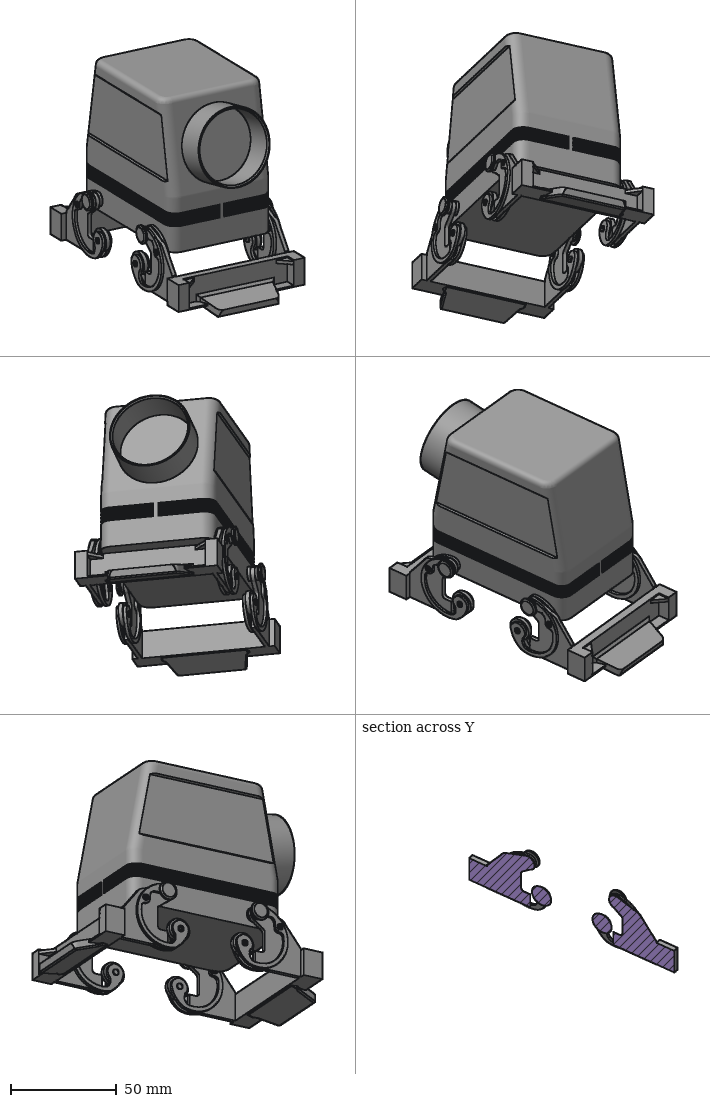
import cadquery as cq
import math


MARGIN = 1.3
DIAGONAL = math.sqrt(0.5)

HOOD_HALF_X = 41.0
HOOD_HALF_Y = 28.1
HOOD_HEIGHT = 75.0
RIDGE_Z = 28.0
TILT = 10.6
RIDGE_RADIUS = 4.3
CORNER_RADIUS = 5.9
TOP_RADIUS = 2.9
PANEL_DEPTH = 0.8
PANEL_BOTTOM = 34.7
PANEL_TOP = 67.7

GROOVE_COUNT = 4
GROOVE_PITCH = 1.7
GROOVE_WIDTH = 1.5
GROOVE_ROOT_WIDTH = 0.7
GROOVE_DEPTH = 0.5
GROOVE_FIRST_Z = 14.0
GROOVE_GAP = 2.5

ENTRY_X = 52.2
ENTRY_Z = 52.4
ENTRY_RADIUS = 19.5
ENTRY_BORE_RADIUS = 18.4
ENTRY_LENGTH = 18.6
ENTRY_BORE_DEPTH = 16.0
ENTRY_CHAMFER = 0.8

PLATE_IN_Y = 30.0
PLATE_OUT_Y = 32.1
RIM_IN_Y = 28.3
RIM_OUT_Y = 33.4
SHOULDER_Z = -7.6
THROAT_X = -29.1
THROAT_Z = -13.7
THROAT_END_X = -23.8
THROAT_RADIUS = 1.7
HOOK_X = -25.0
HOOK_Z = -6.4
HOOK_RADIUS = 16.0
RIM_WIDTH = 2.1
PIVOT_Z = 6.0
PIVOT_RADIUS = HOOK_Z + HOOK_RADIUS - PIVOT_Z
STUD_RADIUS = 2.7
BUTTON_RADIUS = 4.5
BUTTON_IN_Y = 34.2
BUTTON_OUT_Y = 35.5
BUTTON_FACE_RADIUS = 3.6
BUTTON_BEVEL = 0.5
ROLLER_X = -17.4
ROLLER_Z = -11.6
ROLLER_RADIUS = 5.6
ROLLER_CHEEK_RADIUS = 4.3
PIN_X = -36.6
PIN_Z = 0.5
PIN_RADIUS = 1.5
PIN_DIMPLE_RADIUS = 0.8
PIN_DIMPLE_DEPTH = 0.5
PIN_IN_Y = 27.8
PIN_OUT_Y = 33.8

BAR_OUT_X = -59.1
BAR_IN_X = -48.8
BAR_HALF_Y = 34.7
BAR_TOP = -8.3
BAR_BOTTOM = -22.0
POCKET_X = -53.2
POCKET_HALF_Y = 28.7
FLOOR_THICKNESS = 0.8
GUSSET_TOP = -8.9
GUSSET_THICKNESS = 1.7
GUSSET_LENGTH = 6.3

TAB_END_X = -66.5
TAB_TOP_Z = -22.4
TAB_TIP_X = -65.5
TAB_BOTTOM_Z = -26.5
TAB_HEEL_X = -49.5
TAB_ROOT_Z = -19.0
TAB_BLEND = 1.3
TAB_BLEND_HEIGHT = 1.5
TAB_ROOT_HALF_Y = 20.0
TAB_FLARE_HALF_Y = 21.4
TAB_END_HALF_Y = 16.6
TAB_CORNER_RADIUS = 3.2
TAB_CHAMFER = 0.8


def block(x0, x1, y0, y1, z0, z1):
    return cq.Workplane("XY").box(x1 - x0, y1 - y0, z1 - z0, centered=False).translate((x0, y0, z0))


def slab(outline, y_out, y_in):
    """Extrude an (x, z) outline, drawn by a function on a workplane, from -y_in to -y_out."""
    plane = cq.Workplane("XZ", origin=(0, -y_in, 0))
    return outline(plane).close().extrude(y_out - y_in)


def disc(x, z, radius, y_out, y_in):
    """Round disc across Y, from -y_in to -y_out."""
    plane = cq.Workplane("XZ", origin=(x, -y_in, z))
    return plane.circle(radius).extrude(y_out - y_in)


def hood_shell():
    top_half_x = HOOD_HALF_X - (HOOD_HEIGHT - RIDGE_Z) * math.tan(math.radians(TILT))
    body = (
        cq.Workplane("XZ")
        .polyline([
            (-HOOD_HALF_X, 0),
            (HOOD_HALF_X, 0),
            (HOOD_HALF_X, RIDGE_Z),
            (top_half_x, HOOD_HEIGHT),
            (-top_half_x, HOOD_HEIGHT),
            (-HOOD_HALF_X, RIDGE_Z),
        ])
        .close()
        .extrude(HOOD_HALF_Y, both=True)
    )
    ridge = cq.selectors.BoxSelector(
        (-HOOD_HALF_X - MARGIN, -HOOD_HALF_Y, RIDGE_Z - MARGIN),
        (HOOD_HALF_X + MARGIN, HOOD_HALF_Y, RIDGE_Z + MARGIN),
    )
    body = body.edges("|Y").edges(ridge).fillet(RIDGE_RADIUS)
    body = body.faces("<Y or >Y").edges("not #Z").edges("not |X").fillet(CORNER_RADIUS)
    return body.faces(">Z").edges().fillet(TOP_RADIUS)


def panel_recess():
    """Bevelled recess in the -Y wall, running out through the rounded corners."""
    face = -HOOD_HALF_Y
    return (
        cq.Workplane("YZ")
        .polyline([
            (face + PANEL_DEPTH, PANEL_BOTTOM + PANEL_DEPTH),
            (face + PANEL_DEPTH, PANEL_TOP - PANEL_DEPTH),
            (face - PANEL_DEPTH, PANEL_TOP + PANEL_DEPTH),
            (face - PANEL_DEPTH, PANEL_BOTTOM - PANEL_DEPTH),
        ])
        .close()
        .extrude(HOOD_HALF_X, both=True)
    )


def grip_groove(z):
    """Flat-bottomed bevelled groove around the hood, interrupted in the middle of both end walls."""
    half = GROOVE_WIDTH / 2
    root_half = GROOVE_ROOT_WIDTH / 2
    full = cq.Sketch().rect(2 * HOOD_HALF_X, 2 * HOOD_HALF_Y).vertices().fillet(CORNER_RADIUS)
    waist = (
        cq.Sketch()
        .rect(2 * (HOOD_HALF_X - GROOVE_DEPTH), 2 * (HOOD_HALF_Y - GROOVE_DEPTH))
        .vertices()
        .fillet(CORNER_RADIUS - GROOVE_DEPTH)
    )

    def section(sketch, level):
        return sketch.moved(cq.Location(cq.Vector(0, 0, level)))

    reach_x = HOOD_HALF_X + MARGIN
    reach_y = HOOD_HALF_Y + MARGIN
    ring = block(-reach_x, reach_x, -reach_y, reach_y, z - half, z + half)
    for start, end, wide in [
        (-half, -root_half, full),
        (-root_half, root_half, waist),
        (half, root_half, full),
    ]:
        core = cq.Workplane("XY").placeSketch(section(wide, z + start), section(waist, z + end)).loft()
        ring = ring.cut(core)
    strip = block(-reach_x, reach_x, -GROOVE_GAP / 2, GROOVE_GAP / 2, z - half, z + half)
    return ring.cut(strip)


def cable_entry(radius, length, taper=0):
    """Cylinder running inward from the tilted mouth of the cable entry."""
    angle = math.radians(TILT)
    inward = (-math.cos(angle), 0, -math.sin(angle))
    mouth = cq.Plane((ENTRY_X, 0, ENTRY_Z), (0, 1, 0), inward)
    return cq.Workplane(mouth).circle(radius).extrude(length, taper=taper)


def plate_outline(plane):
    """Side plate from the cross bar up to the pivot and down to the hook tail."""
    return (
        plane.moveTo(BAR_IN_X, BAR_BOTTOM)
        .lineTo(BAR_IN_X, SHOULDER_Z)
        .lineTo(-40.3, 3.2)
        .threePointArc((-39.4, 4.4), (-38.3, 5.0))
        .lineTo(-26.2, 9.2)
        .threePointArc((HOOK_X + PIVOT_RADIUS, PIVOT_Z), (-24.1, 1.5))
        .lineTo(-28.0, -1.5)
        .threePointArc((-28.9, -2.3), (THROAT_X, -3.5))
        .lineTo(THROAT_X, THROAT_Z + THROAT_RADIUS)
        .threePointArc(
            (THROAT_X + THROAT_RADIUS * (1 - DIAGONAL), THROAT_Z + THROAT_RADIUS * (1 - DIAGONAL)),
            (THROAT_X + THROAT_RADIUS, THROAT_Z),
        )
        .lineTo(THROAT_END_X, THROAT_Z)
        .lineTo(THROAT_END_X, BAR_BOTTOM)
    )


def rim_outline(plane):
    """Raised C-shaped rim from the pivot, past the pin, round to the roller."""
    inner_radius = HOOK_RADIUS - RIM_WIDTH
    leave_x = 5.3
    leave_z = HOOK_Z - math.sqrt(HOOK_RADIUS**2 - leave_x**2)
    inner_x = 2.1
    inner_z = HOOK_Z - math.sqrt(inner_radius**2 - inner_x**2)
    pin_side_x = -38.7
    pin_side_z = HOOK_Z + math.sqrt(inner_radius**2 - (pin_side_x - HOOK_X)**2)
    rim_end_z = 4.8
    return (
        plane.moveTo(HOOK_X, HOOK_Z + HOOK_RADIUS)
        .threePointArc(
            (HOOK_X - HOOK_RADIUS * DIAGONAL, HOOK_Z - HOOK_RADIUS * DIAGONAL),
            (HOOK_X + leave_x, leave_z),
        )
        .threePointArc((-15.6, -17.7), (ROLLER_X + ROLLER_CHEEK_RADIUS, ROLLER_Z))
        .threePointArc((ROLLER_X, ROLLER_Z + ROLLER_CHEEK_RADIUS), (-20.9, -14.1))
        .threePointArc((-20.1, -16.0), (-20.6, -18.2))
        .threePointArc((-21.5, -19.4), (HOOK_X + inner_x, inner_z))
        .threePointArc(
            (HOOK_X - inner_radius * DIAGONAL, HOOK_Z - inner_radius * DIAGONAL),
            (pin_side_x, pin_side_z),
        )
        .threePointArc((-37.9, -2.7), (-36.3, -2.1))
        .threePointArc((-34.9, -1.5), (-34.2, -0.1))
        .lineTo(-34.0, 2.3)
        .threePointArc((-33.4, 3.7), (-32.0, rim_end_z))
        .lineTo(-28.0, rim_end_z)
        .lineTo(HOOK_X, PIVOT_Z - PIVOT_RADIUS)
        .threePointArc((HOOK_X + PIVOT_RADIUS, PIVOT_Z), (HOOK_X, HOOK_Z + HOOK_RADIUS))
    )


def pin(x, z):
    body = disc(x, z, PIN_RADIUS, PIN_OUT_Y, PIN_IN_Y)
    return body.cut(disc(x, z, PIN_DIMPLE_RADIUS, PIN_OUT_Y, PIN_OUT_Y - PIN_DIMPLE_DEPTH))


def lever_arm():
    button = disc(HOOK_X, PIVOT_Z, BUTTON_RADIUS, BUTTON_OUT_Y, BUTTON_IN_Y)
    button = button.faces("<Y").chamfer(BUTTON_BEVEL, BUTTON_RADIUS - BUTTON_FACE_RADIUS)
    arm = slab(plate_outline, PLATE_OUT_Y, PLATE_IN_Y)
    for y_out, y_in in [(RIM_OUT_Y, PLATE_OUT_Y), (PLATE_IN_Y, RIM_IN_Y)]:
        arm = arm.union(slab(rim_outline, y_out, y_in))
    arm = arm.union(disc(ROLLER_X, ROLLER_Z, ROLLER_RADIUS, PLATE_OUT_Y, PLATE_IN_Y))
    arm = arm.union(disc(HOOK_X, PIVOT_Z, STUD_RADIUS, BUTTON_IN_Y, PIN_IN_Y))
    arm = arm.union(button)
    for x, z in [(PIN_X, PIN_Z), (ROLLER_X, ROLLER_Z)]:
        arm = arm.union(pin(x, z))
    return arm


def gusset():
    """Triangular web in the -Y corner of the cross bar pocket."""
    return (
        cq.Workplane("XY", origin=(0, 0, GUSSET_TOP - GUSSET_THICKNESS))
        .polyline([
            (BAR_OUT_X, -POCKET_HALF_Y),
            (POCKET_X, -POCKET_HALF_Y),
            (POCKET_X, -POCKET_HALF_Y + GUSSET_LENGTH),
        ])
        .close()
        .extrude(GUSSET_THICKNESS)
    )


def finger_tab():
    side = (
        cq.Workplane("XZ")
        .polyline([
            (TAB_HEEL_X, BAR_BOTTOM),
            (TAB_TIP_X, TAB_BOTTOM_Z),
            (TAB_END_X, TAB_TOP_Z),
            (POCKET_X - TAB_BLEND, TAB_ROOT_Z),
            (POCKET_X, TAB_ROOT_Z + TAB_BLEND_HEIGHT),
            (TAB_HEEL_X, TAB_ROOT_Z + TAB_BLEND_HEIGHT),
        ])
        .close()
        .extrude(BAR_HALF_Y, both=True)
    )
    plan = (
        cq.Workplane("XY", origin=(0, 0, TAB_BOTTOM_Z - MARGIN))
        .polyline([
            (TAB_END_X, -TAB_END_HALF_Y),
            (POCKET_X - TAB_BLEND, -TAB_ROOT_HALF_Y),
            (POCKET_X, -TAB_FLARE_HALF_Y),
            (TAB_HEEL_X, -TAB_FLARE_HALF_Y),
            (TAB_HEEL_X, TAB_FLARE_HALF_Y),
            (POCKET_X, TAB_FLARE_HALF_Y),
            (POCKET_X - TAB_BLEND, TAB_ROOT_HALF_Y),
            (TAB_END_X, TAB_END_HALF_Y),
        ])
        .close()
        .extrude(BAR_TOP - TAB_BOTTOM_Z)
        .edges("|Z and <X")
        .fillet(TAB_CORNER_RADIUS)
    )
    tab = side.intersect(plan)
    slope = cq.Vector(TAB_TIP_X - TAB_HEEL_X, 0, TAB_BOTTOM_Z - BAR_BOTTOM)
    underside = cq.selectors.ParallelDirSelector(slope.cross(cq.Vector(0, 1, 0)))
    return tab.faces(underside).edges().chamfer(TAB_CHAMFER)


def cross_bar():
    bar = block(BAR_OUT_X, BAR_IN_X, -BAR_HALF_Y, BAR_HALF_Y, BAR_BOTTOM, BAR_TOP)
    pocket = block(
        BAR_OUT_X, POCKET_X, -POCKET_HALF_Y, POCKET_HALF_Y, BAR_BOTTOM + FLOOR_THICKNESS, BAR_TOP
    )
    bar = bar.cut(pocket).union(gusset()).union(gusset().mirror("XZ"))
    return bar.union(finger_tab())


hood = hood_shell()
recess = panel_recess()
hood = hood.cut(recess).cut(recess.mirror("XZ"))
for i in range(GROOVE_COUNT):
    hood = hood.cut(grip_groove(GROOVE_FIRST_Z + i * GROOVE_PITCH))
hood = hood.union(cable_entry(ENTRY_RADIUS, ENTRY_LENGTH))
hood = hood.cut(cable_entry(ENTRY_BORE_RADIUS, ENTRY_BORE_DEPTH))
hood = hood.cut(cable_entry(ENTRY_BORE_RADIUS + ENTRY_CHAMFER, ENTRY_CHAMFER, taper=45))

arm = lever_arm()
lever = cross_bar().union(arm).union(arm.mirror("XZ"))
result = hood.union(lever).union(lever.mirror("YZ"))